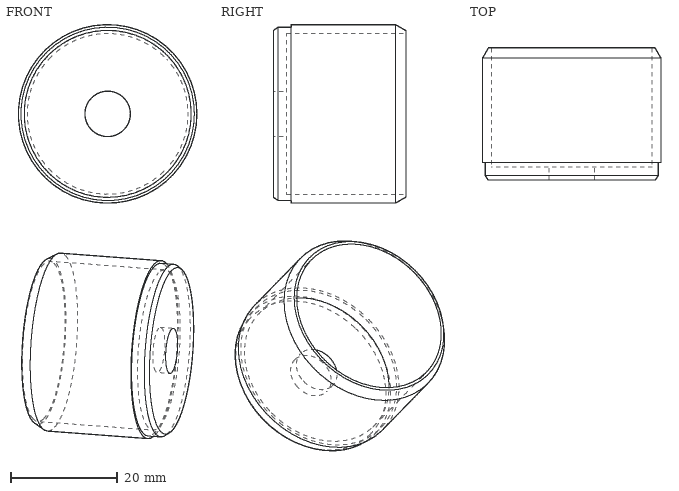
import cadquery as cq

body_diameter = 33.7
total_length = 25.0
bore_diameter = 8.53

cavity_diameter = 30.33
web_thickness = 2.5

spigot_diameter = 32.7
spigot_length = 3.35
front_face_diameter = 31.5
front_chamfer_length = 0.85

back_face_diameter = 31.4
back_chamfer_length = 2.0

front_y = -total_length / 2
back_y = total_length / 2
shoulder_y = front_y + spigot_length
cavity_floor_y = front_y + web_thickness

profile = (
    cq.Workplane("XY")
    .moveTo(bore_diameter / 2, front_y)
    .lineTo(front_face_diameter / 2, front_y)
    .lineTo(spigot_diameter / 2, front_y + front_chamfer_length)
    .lineTo(spigot_diameter / 2, shoulder_y)
    .lineTo(body_diameter / 2, shoulder_y)
    .lineTo(body_diameter / 2, back_y - back_chamfer_length)
    .lineTo(back_face_diameter / 2, back_y)
    .lineTo(cavity_diameter / 2, back_y)
    .lineTo(cavity_diameter / 2, cavity_floor_y)
    .lineTo(bore_diameter / 2, cavity_floor_y)
    .close()
)

result = profile.revolve(360, (0, 0, 0), (0, 1, 0))